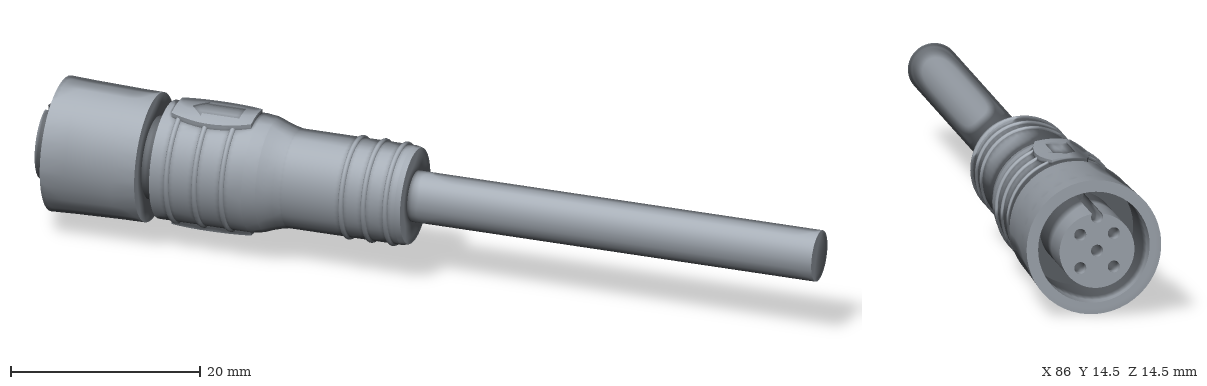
import cadquery as cq

total_length = 86.0
nut_front = 1.6
recess_floor = 10.3
nut_rear = 12.0
grip_front = 13.5
grip_rear = 23.7
shoulder_rear = 25.2
sleeve_front = 27.8
sleeve_rear = 41.0

nut_front_diameter = 14.5
insert_radius = 4.0
nut_bore_radius = 6.0
nut_front_radius = nut_front_diameter / 2
nut_rear_radius = 7.0
neck_radius = 4.5
grip_radius = 6.4
shoulder_radius = 6.1
sleeve_radius = 5.3
cable_radius = 2.75

sleeve_chamfer_length = 0.6
sleeve_chamfer_height = 0.2

rib_radius = 0.3
rib_height = 0.3
grip_ribs = (15.4, 18.5, 21.5)
sleeve_ribs = (34.5, 37.0, 39.4)

contact_hole_radius = 0.645
contact_offset = 1.8
contact_hole_depth = 6.9
key_radius = 0.645
key_bottom = 3.0

pad_front = 14.5
pad_rear = 23.4
pad_end_half_width = 1.9
pad_mid_half_width = 2.75
pad_height = 6.8
pad_crown_radius = 8.6

arrow_tip = 16.25
arrow_head_rear = 17.7
arrow_rear = 21.85
arrow_head_half_width = 1.7
arrow_shaft_half_width = 1.2
arrow_depth = 0.2


def cylinder(front, rear, radius, y=0.0, z=0.0):
    """Cylinder parallel to the X axis."""
    axis_plane = cq.Workplane("YZ", origin=(front, y, z))
    return axis_plane.circle(radius).extrude(rear - front)


def turned_body():
    """Solid of revolution: insert, nut, neck, grip, sleeve and cable."""
    shoulder_mid = (grip_rear + shoulder_rear) / 2
    shoulder_bulge = (grip_radius - shoulder_radius) / 4
    taper_mid = (shoulder_rear + sleeve_front) / 2
    taper_hollow = 0.1
    taper_mid_radius = (shoulder_radius + sleeve_radius) / 2 - taper_hollow
    profile = (
        cq.Workplane("XY")
        .moveTo(0, 0)
        .lineTo(0, insert_radius)
        .lineTo(recess_floor, insert_radius)
        .lineTo(recess_floor, nut_bore_radius)
        .lineTo(nut_front, nut_bore_radius)
        .lineTo(nut_front, nut_front_radius)
        .lineTo(nut_rear, nut_rear_radius)
        .lineTo(nut_rear, neck_radius)
        .lineTo(grip_front, neck_radius)
        .lineTo(grip_front, grip_radius)
        .lineTo(grip_rear, grip_radius)
        .threePointArc((shoulder_mid, grip_radius - shoulder_bulge), (shoulder_rear, shoulder_radius))
        .threePointArc((taper_mid, taper_mid_radius), (sleeve_front, sleeve_radius))
        .lineTo(sleeve_rear - sleeve_chamfer_length, sleeve_radius)
        .lineTo(sleeve_rear, sleeve_radius - sleeve_chamfer_height)
        .lineTo(sleeve_rear, cable_radius)
        .lineTo(total_length, cable_radius)
        .lineTo(total_length, 0)
        .close()
    )
    return profile.revolve(360, (0, 0, 0), (1, 0, 0))


def rib(x, base_radius):
    """Round-topped ring standing proud of a cylindrical surface."""
    ring_radius = base_radius + rib_height - rib_radius
    return cq.Workplane("XY").add(
        cq.Solid.makeTorus(ring_radius, rib_radius, cq.Vector(x, 0, 0), cq.Vector(1, 0, 0))
    )


def upper_pad():
    """Barrel-shaped pad with a crowned top, reaching into the grip."""
    pad_mid = (pad_front + pad_rear) / 2
    outline = (
        cq.Workplane("XY")
        .moveTo(pad_front, -pad_end_half_width)
        .threePointArc((pad_mid, -pad_mid_half_width), (pad_rear, -pad_end_half_width))
        .lineTo(pad_rear, pad_end_half_width)
        .threePointArc((pad_mid, pad_mid_half_width), (pad_front, pad_end_half_width))
        .close()
        .extrude(pad_height)
    )
    crown = cylinder(pad_front, pad_rear, pad_crown_radius, z=pad_height - pad_crown_radius)
    return outline.intersect(crown)


def arrow_engraving():
    """Cutter for the arrow, pointing at the mating face, with a floor parallel to the pad crown."""
    arrow = (
        cq.Workplane("XY")
        .polyline([
            (arrow_tip, 0),
            (arrow_head_rear, arrow_head_half_width),
            (arrow_head_rear, arrow_shaft_half_width),
            (arrow_rear, arrow_shaft_half_width),
            (arrow_rear, -arrow_shaft_half_width),
            (arrow_head_rear, -arrow_shaft_half_width),
            (arrow_head_rear, -arrow_head_half_width),
        ])
        .close()
        .extrude(pad_height)
    )
    floor_radius = pad_crown_radius - arrow_depth
    return arrow.cut(cylinder(pad_front, pad_rear, floor_radius, z=pad_height - pad_crown_radius))


result = turned_body()

for rib_x in grip_ribs:
    result = result.union(rib(rib_x, grip_radius))
for rib_x in sleeve_ribs:
    result = result.union(rib(rib_x, sleeve_radius))

pad = upper_pad()
result = result.union(pad).union(pad.mirror("XY"))
result = result.cut(arrow_engraving())

contact_places = [(0.0, 0.0)]
for side in (-1, 1):
    for level in (-1, 1):
        contact_places.append((side * contact_offset, level * contact_offset))
for y, z in contact_places:
    result = result.cut(cylinder(0, contact_hole_depth, contact_hole_radius, y, z))

result = result.cut(cylinder(0, recess_floor, key_radius, z=key_bottom + key_radius))